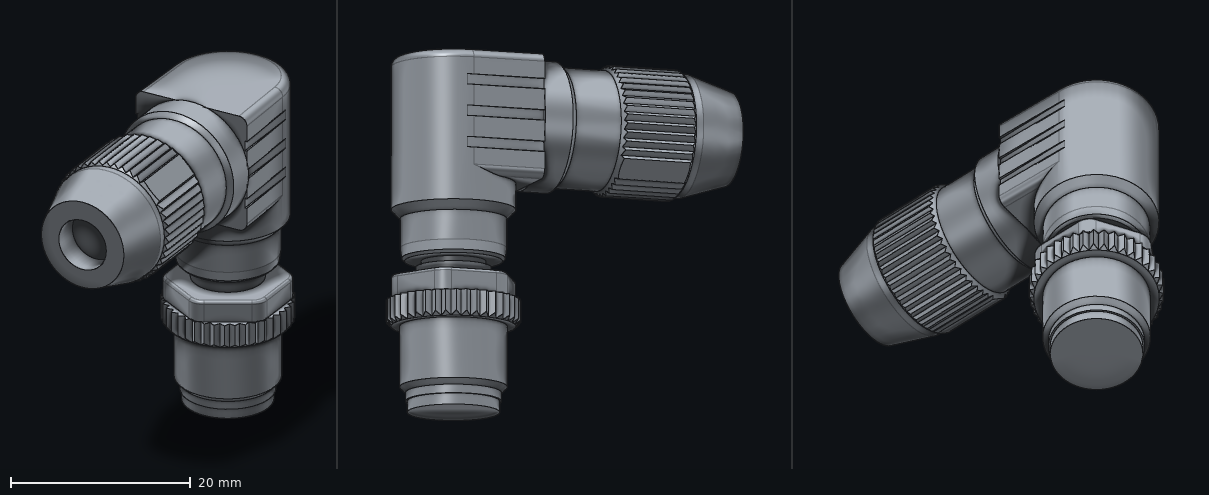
import cadquery as cq
import math


TOTAL_HEIGHT = 40.3
NUT_DIA = 14.7
OUTLET_Z = TOTAL_HEIGHT - NUT_DIA / 2

HOUSING_DIA = 13.9
HOUSING_TOP = 40.0
HOUSING_EDGE_RADIUS = 1.0
HOUSING_DRAFT = 1.3
HOUSING_FRONT_Y = -8.2

GROOVE_COUNT = 3
GROOVE_PITCH = 3.55
GROOVE_HEIGHT = 1.15
GROOVE_FLOOR_X = 6.9

HOUSING_ROUND_END_Z = 22.9
SOCKET_DIA = 11.9
SOCKET_TAPER_Z = 18.55
SOCKET_TAPER_DIA = 11.55
SOCKET_TIP_Z = 17.4
SOCKET_END_Z = 17.1
NECK_DIA = 7.2
COLLAR_DIA = 8.4
COLLAR_TOP_Z = 16.4
HEX_TOP_Z = 15.2
RING_TOP_Z = 12.65
RING_BOTTOM_Z = 9.7
SLEEVE_DIA = 12.0
SLEEVE_CHAMFER_Z = 2.85
SPIGOT_DIA = 10.7
SPIGOT_END_Z = 1.25
TIP_DIA = 10.3

HEX_SIDES = 6
HEX_ACROSS_FLATS = 13.05
HEX_CORNER_RADIUS = 1.95
HEX_TOP_RADIUS = 0.35

RING_DIA = 15.0
RING_TEETH = 40
RING_TOOTH_ANGLE = 90.0
RING_CHAMFER = 0.52

FLANGE_DIA = 14.7
FLANGE_END_Y = -12.1
OUTLET_NECK_DIA = 13.5
FLANGE_CHAMFER = (FLANGE_DIA - OUTLET_NECK_DIA) / 2
NUT_START_Y = -17.4
NUT_END_Y = -26.28
NOZZLE_DIA = 13.9
NOZZLE_CONE_Y = -27.12
NOZZLE_TIP_DIA = 10.6
OUTLET_END_Y = -32.45
CABLE_HOLE_DIA = 6.1
CABLE_HOLE_DEPTH = 3.02

NUT_TEETH_PER_ARC = 20
NUT_FLAT_ANGLE = 22.0
NUT_PITCH = (180 - NUT_FLAT_ANGLE) / NUT_TEETH_PER_ARC
NUT_TOOTH_DEPTH = 0.32
NUT_ARC_CENTRES = (135, 315)
ROOT_LEAN = 0.03


def polar(radius, degrees):
    angle = math.radians(degrees)
    return (radius * math.cos(angle), radius * math.sin(angle))


def turned_about_z(profile):
    """Turn a list of (diameter, z) points, closed along the axis, about Z."""
    points = [(dia / 2, z) for dia, z in profile]
    points = [(0, points[0][1])] + points + [(0, points[-1][1])]
    return cq.Workplane("XZ").polyline(points).close().revolve(360, (0, 0), (0, 1))


def turned_about_outlet(profile):
    """Turn a list of (diameter, y) points, closed along the axis, about the outlet axis."""
    points = [(dia / 2, y) for dia, y in profile]
    points = [(0, points[0][1])] + points + [(0, points[-1][1])]
    turned = cq.Workplane("XY").polyline(points).close().revolve(360, (0, 0), (0, 1))
    return turned.translate((0, 0, OUTLET_Z))


def make_housing():
    """Round-backed block around the corner, with rounded long edges and grip grooves."""
    radius = HOUSING_DIA / 2
    half_height = HOUSING_TOP - OUTLET_Z
    tangent_x, tangent_y = polar(radius, HOUSING_DRAFT)
    front_x = tangent_x + (tangent_y - HOUSING_FRONT_Y) * math.tan(math.radians(HOUSING_DRAFT))
    block = (
        cq.Workplane("XY", origin=(0, 0, OUTLET_Z - half_height))
        .moveTo(front_x, HOUSING_FRONT_Y)
        .lineTo(tangent_x, tangent_y)
        .threePointArc((0, radius), (-tangent_x, tangent_y))
        .lineTo(-front_x, HOUSING_FRONT_Y)
        .close()
        .extrude(2 * half_height)
    )
    block = block.faces("|Z").edges("not <Y").fillet(HOUSING_EDGE_RADIUS)

    back_height = OUTLET_Z - HOUSING_ROUND_END_Z
    back = cq.Workplane("XY", origin=(0, 0, HOUSING_ROUND_END_Z)).circle(radius).extrude(back_height)
    return block.union(back).cut(make_grip_grooves())


def make_grip_grooves():
    """Straight-floored grooves along both housing sides, running out on the round back."""
    cutter_depth = HOUSING_DIA / 2
    cutter_length = 2 * HOUSING_DIA
    grooves = cq.Workplane("XY")
    for index in range(GROOVE_COUNT):
        z = OUTLET_Z + (index - (GROOVE_COUNT - 1) / 2) * GROOVE_PITCH
        for side in (-1, 1):
            x = side * (GROOVE_FLOOR_X + cutter_depth / 2)
            cutter = cq.Workplane("XY").box(cutter_depth, cutter_length, GROOVE_HEIGHT)
            grooves = grooves.union(cutter.translate((x, 0, z)))
    return grooves


def make_stem():
    shoulder = (HOUSING_DIA - SOCKET_DIA) / 2
    sleeve_chamfer = (SLEEVE_DIA - SPIGOT_DIA) / 2
    socket_end_dia = SOCKET_TAPER_DIA - 2 * (SOCKET_TIP_Z - SOCKET_END_Z)
    return turned_about_z([
        (HOUSING_DIA, HOUSING_ROUND_END_Z),
        (SOCKET_DIA, HOUSING_ROUND_END_Z - shoulder),
        (SOCKET_DIA, SOCKET_TAPER_Z),
        (SOCKET_TAPER_DIA, SOCKET_TIP_Z),
        (socket_end_dia, SOCKET_END_Z),
        (NECK_DIA, SOCKET_END_Z),
        (NECK_DIA, COLLAR_TOP_Z),
        (COLLAR_DIA, COLLAR_TOP_Z),
        (COLLAR_DIA, RING_TOP_Z),
        (SLEEVE_DIA, RING_TOP_Z),
        (SLEEVE_DIA, SLEEVE_CHAMFER_Z),
        (SPIGOT_DIA, SLEEVE_CHAMFER_Z - sleeve_chamfer),
        (SPIGOT_DIA, SPIGOT_END_Z),
        (TIP_DIA, SPIGOT_END_Z),
        (TIP_DIA, 0),
    ])


def make_hexagon():
    """Hexagon with rounded corners, flats facing +X and -X."""
    half_side_angle = 180 / HEX_SIDES
    across_corners = HEX_ACROSS_FLATS / math.cos(math.radians(half_side_angle))
    return (
        cq.Workplane("XY", origin=(0, 0, RING_TOP_Z))
        .transformed(rotate=(0, 0, half_side_angle))
        .polygon(HEX_SIDES, across_corners)
        .extrude(HEX_TOP_Z - RING_TOP_Z)
        .edges("|Z")
        .fillet(HEX_CORNER_RADIUS)
        .faces(">Z")
        .edges()
        .fillet(HEX_TOP_RADIUS)
    )


def make_toothed_ring():
    """Ring of V teeth with a chamfered lower rim."""
    tip_radius = RING_DIA / 2
    half_pitch = 180 / RING_TEETH
    half_tip = RING_TOOTH_ANGLE / 2
    root_radius = (
        tip_radius * math.sin(math.radians(half_tip)) / math.sin(math.radians(half_tip + half_pitch))
    )
    outline = []
    for tooth in range(RING_TEETH):
        tip_angle = 2 * half_pitch * tooth
        outline.append(polar(tip_radius, tip_angle))
        outline.append(polar(root_radius, tip_angle + half_pitch))
    teeth = (
        cq.Workplane("XY", origin=(0, 0, RING_BOTTOM_Z))
        .polyline(outline)
        .close()
        .extrude(RING_TOP_Z - RING_BOTTOM_Z)
    )
    envelope = turned_about_z([
        (RING_DIA, RING_TOP_Z),
        (RING_DIA, RING_BOTTOM_Z + RING_CHAMFER),
        (RING_DIA - 2 * RING_CHAMFER, RING_BOTTOM_Z),
    ])
    return teeth.intersect(envelope)


def make_outlet():
    return turned_about_outlet([
        (FLANGE_DIA, HOUSING_FRONT_Y),
        (FLANGE_DIA, FLANGE_END_Y + FLANGE_CHAMFER),
        (OUTLET_NECK_DIA, FLANGE_END_Y),
        (OUTLET_NECK_DIA, NUT_END_Y),
        (NOZZLE_DIA, NUT_END_Y),
        (NOZZLE_DIA, NOZZLE_CONE_Y),
        (NOZZLE_TIP_DIA, OUTLET_END_Y),
    ])


def make_clamping_nut():
    """Nut with two toothed arcs; the roots lean away from each arc centre."""
    tip_radius = NUT_DIA / 2
    root_radius = tip_radius - NUT_TOOTH_DEPTH
    half_arc = NUT_TEETH_PER_ARC / 2 * NUT_PITCH
    outline = []
    for centre in NUT_ARC_CENTRES:
        for tooth in range(NUT_TEETH_PER_ARC):
            tip_offset = tooth * NUT_PITCH - half_arc
            middle_offset = tip_offset + NUT_PITCH / 2
            root_offset = middle_offset * (1 + ROOT_LEAN)
            outline.append(polar(tip_radius, centre + tip_offset))
            outline.append(polar(root_radius, centre + root_offset))
        outline.append(polar(tip_radius, centre + half_arc))
    teeth = (
        cq.Workplane("XZ", origin=(0, NUT_START_Y, OUTLET_Z))
        .polyline(outline)
        .close()
        .extrude(NUT_START_Y - NUT_END_Y)
    )
    start_chamfer = (NUT_DIA - OUTLET_NECK_DIA) / 2
    end_chamfer = (NUT_DIA - NOZZLE_DIA) / 2
    envelope = turned_about_outlet([
        (OUTLET_NECK_DIA, NUT_START_Y),
        (NUT_DIA, NUT_START_Y - start_chamfer),
        (NUT_DIA, NUT_END_Y + end_chamfer),
        (NOZZLE_DIA, NUT_END_Y),
    ])
    return teeth.intersect(envelope)


cable_hole = (
    cq.Workplane("XZ", origin=(0, OUTLET_END_Y + CABLE_HOLE_DEPTH, OUTLET_Z))
    .circle(CABLE_HOLE_DIA / 2)
    .extrude(CABLE_HOLE_DEPTH)
)

result = (
    make_stem()
    .union(make_toothed_ring())
    .union(make_hexagon())
    .union(make_housing())
    .union(make_outlet())
    .union(make_clamping_nut())
    .cut(cable_hole)
)